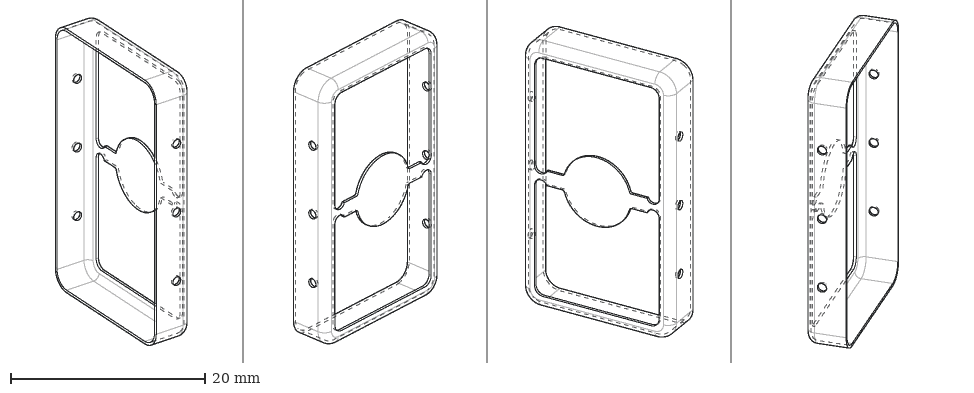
import cadquery as cq

WIDTH = 17.8
DEPTH = 4.4
HEIGHT = 30.8
WALL = 0.3
CORNER_RADIUS = 2.0
FLOOR_EDGE_RADIUS = 1.0

RIM_WIDTH = 1.5
WINDOW_WIDTH = WIDTH - 2 * RIM_WIDTH
WINDOW_HEIGHT = HEIGHT - 2 * RIM_WIDTH
WINDOW_CORNER_RADIUS = 1.0

DISC_DIAMETER = 8.0
ARM_HEIGHT = 1.7
ARM_BLEND_RADIUS = 0.25
NECK_HEIGHT = 0.7
NOTCH_RADIUS = 0.75
NOTCH_X = WINDOW_WIDTH / 2 - NOTCH_RADIUS
NOTCH_Z = NECK_HEIGHT / 2 + NOTCH_RADIUS

HOLE_DIAMETER = 1.0
HOLE_PITCH = 8.0
HOLE_FROM_BACK = 1.8

BACK_Y = DEPTH / 2
FLOOR_FRONT_Y = BACK_Y - WALL


def rounded_block(width, height, front_y, back_y, corner_radius):
    """Block between two Y positions, with rounded corners in the XZ plane."""
    return (
        cq.Workplane("XZ", origin=(0, back_y, 0))
        .rect(width, height)
        .extrude(back_y - front_y)
        .edges("|Y")
        .fillet(corner_radius)
    )


def floor_sketch():
    """Workplane on the inner floor face; a negative extrusion runs to the back."""
    return cq.Workplane("XZ", origin=(0, FLOOR_FRONT_Y, 0))


def make_tray():
    outer = rounded_block(WIDTH, HEIGHT, -BACK_Y, BACK_Y, CORNER_RADIUS)
    outer = outer.faces(">Y").edges().fillet(FLOOR_EDGE_RADIUS)
    cavity = rounded_block(
        WIDTH - 2 * WALL, HEIGHT - 2 * WALL, -BACK_Y, FLOOR_FRONT_Y, CORNER_RADIUS - WALL
    )
    cavity = cavity.faces(">Y").edges().fillet(FLOOR_EDGE_RADIUS - WALL)
    window = rounded_block(
        WINDOW_WIDTH, WINDOW_HEIGHT, FLOOR_FRONT_Y, BACK_Y, WINDOW_CORNER_RADIUS
    )
    return outer.cut(cavity).cut(window)


def make_disc_and_arms():
    disc = floor_sketch().circle(DISC_DIAMETER / 2).extrude(-WALL)
    arms = floor_sketch().rect(2 * NOTCH_X, ARM_HEIGHT).extrude(-WALL)
    web = disc.union(arms)
    reach = DISC_DIAMETER / 2
    inner_edges = cq.selectors.BoxSelector((-reach, -DEPTH, -ARM_HEIGHT), (reach, DEPTH, ARM_HEIGHT))
    web = web.edges("|Y").edges(inner_edges).fillet(ARM_BLEND_RADIUS)

    root_length = NOTCH_RADIUS + RIM_WIDTH - FLOOR_EDGE_RADIUS
    roots = (
        floor_sketch()
        .pushPoints([(side * (NOTCH_X + root_length / 2), 0) for side in (-1, 1)])
        .rect(root_length, 2 * NOTCH_Z)
        .extrude(-WALL)
    )
    notches = (
        floor_sketch()
        .rect(2 * NOTCH_X, 2 * NOTCH_Z, forConstruction=True)
        .vertices()
        .circle(NOTCH_RADIUS)
        .extrude(-WALL)
    )
    return web.union(roots).cut(notches)


def make_side_holes():
    return (
        cq.Workplane("YZ", origin=(-WIDTH / 2, BACK_Y - HOLE_FROM_BACK, 0))
        .pushPoints([(0, row * HOLE_PITCH) for row in (-1, 0, 1)])
        .circle(HOLE_DIAMETER / 2)
        .extrude(WIDTH)
    )


result = make_tray().union(make_disc_and_arms()).cut(make_side_holes())